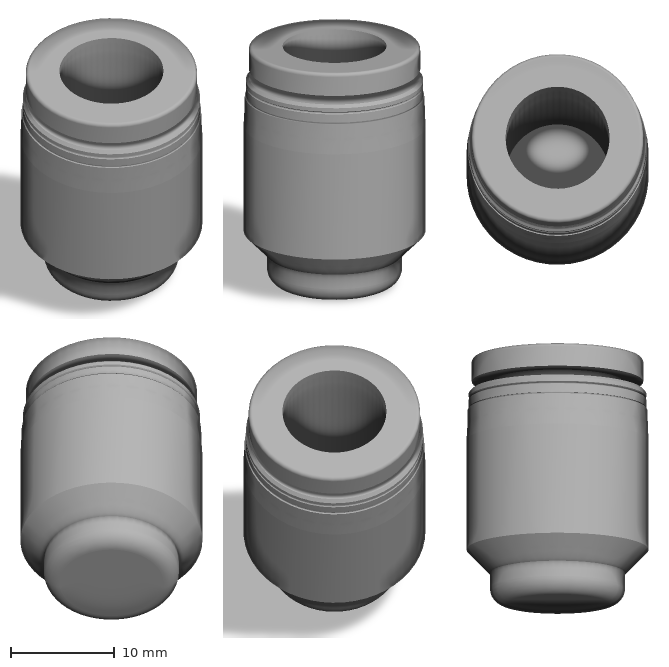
import cadquery as cq

height = 24.0

body_radius = 8.75
nose_radius = 6.5
nose_fillet = 1.5
nose_top_z = 2.98
cone_top_z = 5.28
taper_start_z = 15.98
shoulder_z = 18.98
shoulder_radius = 8.65

ring_radius = 8.55
ring_bottom_z = 19.13
ring_top_z = 20.88
ring_chamfer = 0.3
seat_groove_radius = 8.45
groove_z = 20.1
groove_depth = 0.2
groove_half_width = 0.12

flange_radius = 16.5 / 2
flange_bottom_z = 21.75
flange_fillet = 0.34
neck_radius = 6.0
flare_height = 0.48
flare_width = 0.3
flare_arc_radius = (flare_height**2 + flare_width**2) / (2 * flare_width)

socket_radius = 10.0 / 2
socket_floor_z = cone_top_z


def revolve_profile(profile):
    """Turn a closed radius-height outline into a solid about the Z axis."""
    return profile.close().revolve(360, (0, 0, 0), (0, 1, 0))


def make_body():
    profile = (
        cq.Workplane("XZ")
        .lineTo(nose_radius - nose_fillet, 0)
        .radiusArc((nose_radius, nose_fillet), -nose_fillet)
        .lineTo(nose_radius, nose_top_z)
        .lineTo(body_radius, cone_top_z)
        .lineTo(body_radius, taper_start_z)
        .lineTo(shoulder_radius, shoulder_z)
        .lineTo(0, shoulder_z)
    )
    return revolve_profile(profile)


def make_guide_ring():
    profile = (
        cq.Workplane("XZ")
        .moveTo(0, shoulder_z)
        .lineTo(seat_groove_radius, shoulder_z)
        .lineTo(seat_groove_radius, ring_bottom_z)
        .lineTo(ring_radius, ring_bottom_z)
        .lineTo(ring_radius, groove_z - groove_half_width)
        .lineTo(ring_radius - groove_depth, groove_z)
        .lineTo(ring_radius, groove_z + groove_half_width)
        .lineTo(ring_radius, ring_top_z - ring_chamfer)
        .lineTo(ring_radius - ring_chamfer, ring_top_z)
        .lineTo(0, ring_top_z)
    )
    return revolve_profile(profile)


def make_release_collar():
    profile = (
        cq.Workplane("XZ")
        .moveTo(0, ring_top_z)
        .lineTo(neck_radius, ring_top_z)
        .lineTo(neck_radius, flange_bottom_z - flare_height)
        .radiusArc((neck_radius + flare_width, flange_bottom_z), flare_arc_radius)
        .lineTo(flange_radius, flange_bottom_z)
        .lineTo(flange_radius, height - flange_fillet)
        .radiusArc((flange_radius - flange_fillet, height), -flange_fillet)
        .lineTo(0, height)
    )
    return revolve_profile(profile)


def make_socket():
    socket = cq.Workplane("XY").circle(socket_radius).extrude(height - socket_floor_z)
    return socket.translate((0, 0, socket_floor_z))


fitting = make_body().union(make_guide_ring()).union(make_release_collar())
result = fitting.cut(make_socket())